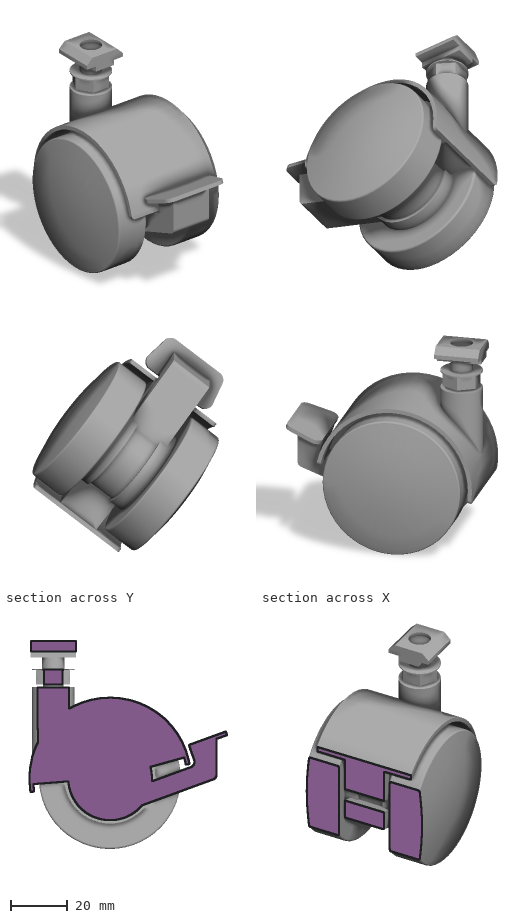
import cadquery as cq
import math


wheel_radius = 25.0
wheel_inner_y = 10.1
wheel_outer_y = 22.5
wheel_edge_round = 0.7
dome_height = 3.0

hub_radius = 16.0
hub_core_radius = 14.85
hub_core_half_width = 5.0

fender_radius = 28.5
fender_thickness = 1.5
fender_half_width = 18.95
fender_start_angle = 10.0
fender_end_angle = 190.0
fender_corner_radius = 1.5
web_setback_angle = 5.5
web_half_width = 7.95
web_inner_radius = 13.2

stem_x = -20.0
stem_radius = 7.5
stem_bottom_z = 7.35
stem_top_z = 32.1
neck_radius = 3.6
nut_across_flats = 12.0
nut_bottom_z = 33.0
washer_bottom_z = 38.1
washer_top_z = 38.5
bolt_radius = 4.0

block_bottom_z = 42.5
block_wing_z = 44.55
block_chamfer_z = 46.1
block_top_z = 48.5
block_length = 16.0
block_half_width = 8.0
block_top_half_width = 5.5
block_neck_half_width = 4.05
block_recess_depth = 1.5

lever_tilt = 20.0
arm_half_width = web_half_width
arm_root_along = 7.35
arm_notch_along = 30.0
arm_notch_up = -5.95
arm_bottom_up = -12.85
arm_end_x = 37.6
arm_round = 2.0
pad_start_along = 30.05
pad_end_along = 44.0
pad_bottom_up = 0.15
pad_thickness = 1.5
pad_start_half_width = 15.0
pad_end_half_width = 12.35
pad_corner_radius = 3.0


def y_cylinder(radius, half_width):
    return cq.Workplane("XZ").circle(radius).extrude(half_width, both=True)


def z_cylinder(radius, bottom, top):
    return cq.Workplane("XY", origin=(stem_x, 0, bottom)).circle(radius).extrude(top - bottom)


def polar(radius, angle):
    return (radius * math.cos(math.radians(angle)), radius * math.sin(math.radians(angle)))


def ring_sector(inner, outer, start, end, half_width):
    """Sector of a ring around the axle, symmetric about the XZ plane."""
    middle = (start + end) / 2
    return (
        cq.Workplane("XZ")
        .moveTo(*polar(inner, start))
        .lineTo(*polar(outer, start))
        .threePointArc(polar(outer, middle), polar(outer, end))
        .lineTo(*polar(inner, end))
        .threePointArc(polar(inner, middle), polar(inner, start))
        .close()
        .extrude(half_width, both=True)
    )


def make_wheel():
    """Wheel on the +Y side, with rounded rims and a domed outer face."""
    face_radius = wheel_radius - wheel_edge_round
    dome_radius = (face_radius**2 + dome_height**2) / (2 * dome_height)
    dome_middle_radius = face_radius / 2
    dome_middle_y = (
        wheel_outer_y + dome_height - dome_radius + math.sqrt(dome_radius**2 - dome_middle_radius**2)
    )
    profile = (
        cq.Workplane("XY")
        .moveTo(0, wheel_inner_y)
        .lineTo(face_radius, wheel_inner_y)
        .radiusArc((wheel_radius, wheel_inner_y + wheel_edge_round), -wheel_edge_round)
        .lineTo(wheel_radius, wheel_outer_y - wheel_edge_round)
        .radiusArc((face_radius, wheel_outer_y), -wheel_edge_round)
        .threePointArc((dome_middle_radius, dome_middle_y), (0, wheel_outer_y + dome_height))
        .close()
    )
    return profile.revolve(360, (0, 0, 0), (0, 1, 0))


def make_hub():
    hub = y_cylinder(hub_core_radius, wheel_inner_y)
    collars = y_cylinder(hub_radius, wheel_inner_y).cut(y_cylinder(hub_radius, hub_core_half_width))
    return hub.union(collars)


def make_fender():
    inner_radius = fender_radius - fender_thickness
    shell = ring_sector(inner_radius, fender_radius, fender_start_angle, fender_end_angle, fender_half_width)
    end_corners = cq.selectors.BoxSelector(
        (-2 * fender_radius, -2 * fender_half_width, -fender_radius),
        (2 * fender_radius, 2 * fender_half_width, fender_radius / 2),
    )
    shell = shell.edges("#Y").edges(end_corners).fillet(fender_corner_radius)
    web = ring_sector(
        web_inner_radius,
        inner_radius,
        fender_start_angle + web_setback_angle,
        fender_end_angle - web_setback_angle,
        web_half_width,
    )
    return shell.union(web)


def make_stem():
    stem = z_cylinder(stem_radius, stem_bottom_z, stem_top_z)
    neck = z_cylinder(neck_radius, stem_top_z, nut_bottom_z)
    nut = (
        cq.Workplane("XY", origin=(stem_x, 0, nut_bottom_z))
        .polygon(6, nut_across_flats, circumscribed=True)
        .extrude(washer_bottom_z - nut_bottom_z)
    )
    washer = z_cylinder(stem_radius, washer_bottom_z, washer_top_z)
    bolt = z_cylinder(bolt_radius, washer_top_z, block_bottom_z)
    return stem.union(neck).union(nut).union(washer).union(bolt)


def make_block():
    """T-slot block with a shallow round recess in its top."""
    half_outline = [
        (block_neck_half_width, block_bottom_z),
        (block_neck_half_width, block_wing_z),
        (block_half_width, block_wing_z),
        (block_half_width, block_chamfer_z),
        (block_top_half_width, block_top_z),
    ]
    mirrored = [(-y, z) for y, z in reversed(half_outline)]
    block = (
        cq.Workplane("YZ", origin=(stem_x, 0, 0))
        .polyline(half_outline + mirrored)
        .close()
        .extrude(block_length / 2, both=True)
    )
    return block.cut(z_cylinder(bolt_radius, block_top_z - block_recess_depth, block_top_z))


def make_lever():
    tilt = math.radians(lever_tilt)

    def arm_end_along(up):
        """Position along the tilted frame where the vertical arm end lies."""
        return (arm_end_x + up * math.sin(tilt)) / math.cos(tilt)

    arm = (
        cq.Workplane("XZ")
        .polyline(
            [
                (arm_root_along, arm_notch_up),
                (arm_notch_along, arm_notch_up),
                (arm_notch_along, pad_bottom_up),
                (arm_end_along(pad_bottom_up), pad_bottom_up),
                (arm_end_along(arm_bottom_up), arm_bottom_up),
                (arm_root_along, arm_bottom_up),
            ]
        )
        .close()
        .extrude(arm_half_width, both=True)
    )
    notch_corner = cq.selectors.NearestToPointSelector((arm_notch_along, 0, arm_notch_up))
    lower_corner = cq.selectors.NearestToPointSelector((arm_end_along(arm_bottom_up), 0, arm_bottom_up))
    arm = arm.edges("|Y").edges(notch_corner).fillet(arm_round)
    arm = arm.edges("|Y").edges(lower_corner).fillet(arm_round)
    pad = (
        cq.Workplane("XY", origin=(0, 0, pad_bottom_up))
        .polyline(
            [
                (pad_start_along, -pad_start_half_width),
                (pad_end_along, -pad_end_half_width),
                (pad_end_along, pad_end_half_width),
                (pad_start_along, pad_start_half_width),
            ]
        )
        .close()
        .extrude(pad_thickness)
        .edges("|Z")
        .fillet(pad_corner_radius)
    )
    return arm.union(pad).rotate((0, 0, 0), (0, 1, 0), -lever_tilt)


wheel = make_wheel()
result = (
    make_hub()
    .union(wheel)
    .union(wheel.mirror("XZ"))
    .union(make_fender())
    .union(make_stem())
    .union(make_block())
    .union(make_lever())
)